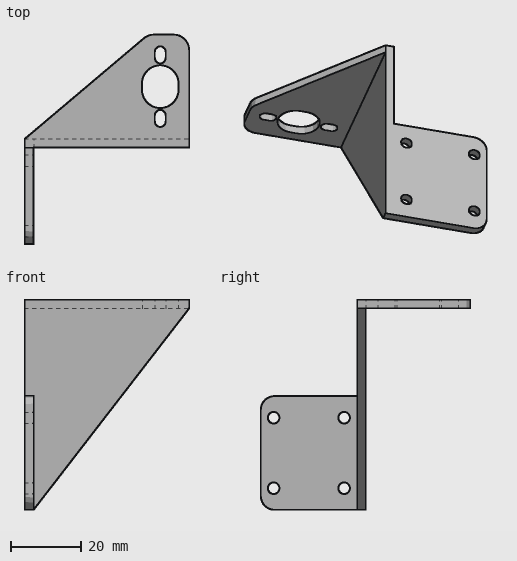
import cadquery as cq

sheet = 2.5
width = 46.7
height = 59.75

plate_depth = 32.15
plate_slope_end_x = 35.05
plate_corner_radius = 4.5

opening_edge_distance = 8.25
opening_x = width - opening_edge_distance
opening_y = 17.3
opening_width = 10.35
opening_length = 12.05
slot_width = 3.0
slot_length = 4.8
slot_offset = 9.0

flange_reach = 27.35
flange_height = 32.4
flange_corner_radius = 4.0
hole_diameter = 3.2
hole_pitch = 20.0


def make_web():
    """Triangular web joining the top plate to the side flange."""
    outline = [
        (0, 0),
        (sheet, 0),
        (width, height - sheet),
        (width, height),
        (0, height),
    ]
    return cq.Workplane("XZ").polyline(outline).close().extrude(-sheet)


def make_top_plate():
    """Tapered plate with its two rear corners rounded."""
    outline = [
        (0, 0),
        (width, 0),
        (width, plate_depth),
        (plate_slope_end_x, plate_depth),
        (0, sheet),
    ]
    plate = (
        cq.Workplane("XY", origin=(0, 0, height - sheet))
        .polyline(outline)
        .close()
        .extrude(sheet)
    )
    return plate.edges("|Z").edges(">Y").fillet(plate_corner_radius)


def make_slot(center_y, slot_size, length):
    """Round-ended cutter running along Y through the top plate."""
    return (
        cq.Workplane("XY", origin=(opening_x, center_y, height - sheet))
        .slot2D(length, slot_size, 90)
        .extrude(sheet)
    )


def make_flange():
    """Side flange with rounded free corners and a centred square of holes."""
    flange = (
        cq.Workplane("XY")
        .box(sheet, flange_reach + sheet, flange_height, centered=False)
        .translate((0, -flange_reach, 0))
        .edges("|X and <Y")
        .fillet(flange_corner_radius)
    )
    holes = (
        cq.Workplane("YZ", origin=(0, -flange_reach / 2, flange_height / 2))
        .rect(hole_pitch, hole_pitch, forConstruction=True)
        .vertices()
        .circle(hole_diameter / 2)
        .extrude(sheet)
    )
    return flange.cut(holes)


top_plate = make_top_plate().cut(make_slot(opening_y, opening_width, opening_length))
for side in (-1, 1):
    top_plate = top_plate.cut(make_slot(opening_y + side * slot_offset, slot_width, slot_length))

result = make_web().union(top_plate).union(make_flange())